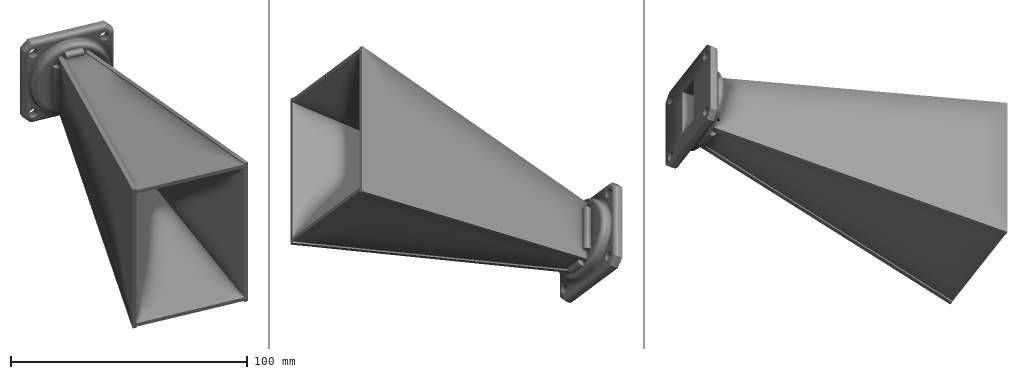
import cadquery as cq

length = 138.7
mouth_width = 52.8
mouth_height = 72.3

flange_side = 41.6
flange_thickness = 4.0
corner_chamfer = 3.5
flange_edge_radius = 1.8
hole_diameter = 4.3
hole_spacing_y = 32.5
hole_spacing_z = 31.0

boss_diameter = 36.0
boss_end = 8.3
boss_root_radius = 1.0
boss_edge_radius = 1.8

block_end = 11.1
block_edge_radius = 1.8
side_block_reach = 9.4
side_block_height = 20.4
top_block_reach = 16.0
top_block_width = 8.0

bore_width = 10.1
bore_height = 22.9
wall = 1.8
side_wall_overhang = 0.7
mouth_setback = 0.3


def box_along_x(start, end, width, height):
    """Box centred on the X axis."""
    return cq.Workplane("YZ", origin=(start, 0, 0)).rect(width, height).extrude(end - start)


def taper(throat_width, throat_height, end_width, end_height):
    """Rectangular pyramid frustum from the boss face to the mouth."""
    return (
        cq.Workplane("YZ", origin=(boss_end, 0, 0))
        .rect(throat_width, throat_height)
        .workplane(offset=length - boss_end)
        .rect(end_width, end_height)
        .loft(ruled=True, combine=True)
    )


def make_flange():
    flange = box_along_x(0, flange_thickness, flange_side, flange_side)
    flange = flange.edges("|X").chamfer(corner_chamfer)
    flange = flange.faces(">X").edges().fillet(flange_edge_radius)
    holes = (
        cq.Workplane("YZ")
        .rect(hole_spacing_y, hole_spacing_z, forConstruction=True)
        .vertices()
        .circle(hole_diameter / 2)
        .extrude(flange_thickness)
    )
    return flange.cut(holes)


def make_boss():
    """Revolved boss with a hollow root fillet and a rounded far edge."""
    radius = boss_diameter / 2
    diagonal = 0.5 ** 0.5
    root_end = flange_thickness + boss_root_radius
    root_mid = (
        root_end - boss_root_radius * diagonal,
        radius + boss_root_radius * (1 - diagonal),
    )
    edge_start = boss_end - boss_edge_radius
    edge_mid = (
        edge_start + boss_edge_radius * diagonal,
        radius - boss_edge_radius * (1 - diagonal),
    )
    return (
        cq.Workplane("XY")
        .moveTo(0, 0)
        .lineTo(0, radius)
        .lineTo(flange_thickness, radius)
        .lineTo(flange_thickness, radius + boss_root_radius)
        .threePointArc(root_mid, (root_end, radius))
        .lineTo(edge_start, radius)
        .threePointArc(edge_mid, (boss_end, radius - boss_edge_radius))
        .lineTo(boss_end, 0)
        .close()
        .revolve(360, (0, 0, 0), (1, 0, 0))
    )


def make_blocks():
    side_blocks = box_along_x(boss_end, block_end, 2 * side_block_reach, side_block_height)
    side_blocks = side_blocks.faces(">X").edges("|Z").fillet(block_edge_radius)
    top_blocks = box_along_x(boss_end, block_end, top_block_width, 2 * top_block_reach)
    top_blocks = top_blocks.faces(">X").edges("|Y").fillet(block_edge_radius)
    return side_blocks.union(top_blocks)


def make_horn():
    """Tall side walls standing slightly proud of the top and bottom walls."""
    throat_width = bore_width + 2 * wall
    inner_mouth_width = mouth_width - 2 * wall
    overhang = 2 * side_wall_overhang
    throat_top = bore_height + 2 * wall
    mouth_top = mouth_height - overhang
    envelope = taper(throat_width, throat_top + overhang, mouth_width, mouth_height)
    between_side_walls = taper(bore_width, throat_top + overhang, inner_mouth_width, mouth_height)
    side_walls = envelope.cut(between_side_walls)
    core = taper(bore_width, throat_top, inner_mouth_width, mouth_top)
    return side_walls.union(core)


def make_mouth_bevels():
    """Wedges that set the ends of the side walls square to their slope."""
    outer = mouth_width / 2
    wedge = (
        cq.Workplane("XY", origin=(0, 0, -mouth_height / 2))
        .moveTo(length, outer - wall)
        .lineTo(length, outer)
        .lineTo(length - mouth_setback, outer)
        .close()
        .extrude(mouth_height)
    )
    return wedge.union(wedge.mirror("XZ"))


bore = box_along_x(0, boss_end, bore_width, bore_height)
horn_cavity = taper(
    bore_width,
    bore_height,
    mouth_width - 2 * wall,
    mouth_height - 2 * side_wall_overhang - 2 * wall,
)

body = make_flange().union(make_boss()).union(make_blocks()).union(make_horn())
result = body.cut(bore).cut(horn_cavity).cut(make_mouth_bevels())